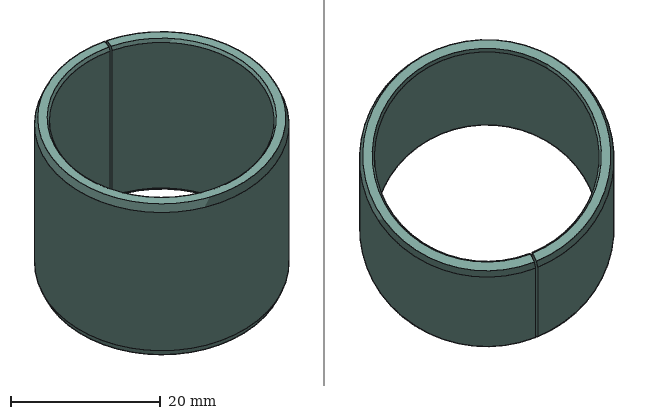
import cadquery as cq

outer_diameter = 34.0
bore_diameter = 30.0
height = 28.0

outer_chamfer_height = 1.2
outer_chamfer_depth = 0.45

bore_chamfer_height = 0.5
bore_chamfer_depth = 0.3

slit_width = 0.3

outer_radius = outer_diameter / 2
bore_radius = bore_diameter / 2
half_height = height / 2


def make_sleeve():
    """Revolve the chamfered wall section around Z."""
    bore_edge_radius = bore_radius + bore_chamfer_depth
    bore_edge_z = half_height - bore_chamfer_height
    rim_radius = outer_radius - outer_chamfer_depth
    rim_z = half_height - outer_chamfer_height
    section = (
        cq.Workplane("XZ")
        .moveTo(bore_radius, -bore_edge_z)
        .lineTo(bore_edge_radius, -half_height)
        .lineTo(rim_radius, -half_height)
        .lineTo(outer_radius, -rim_z)
        .lineTo(outer_radius, rim_z)
        .lineTo(rim_radius, half_height)
        .lineTo(bore_edge_radius, half_height)
        .lineTo(bore_radius, bore_edge_z)
        .close()
    )
    return section.revolve(360, (0, 0, 0), (0, 1, 0))


def make_slit():
    """Thin box from the axis out through the -X wall."""
    blade = cq.Workplane("XY").box(outer_diameter, slit_width, 2 * height)
    return blade.translate((-outer_radius, slit_width / 2, 0))


result = make_sleeve().cut(make_slit())